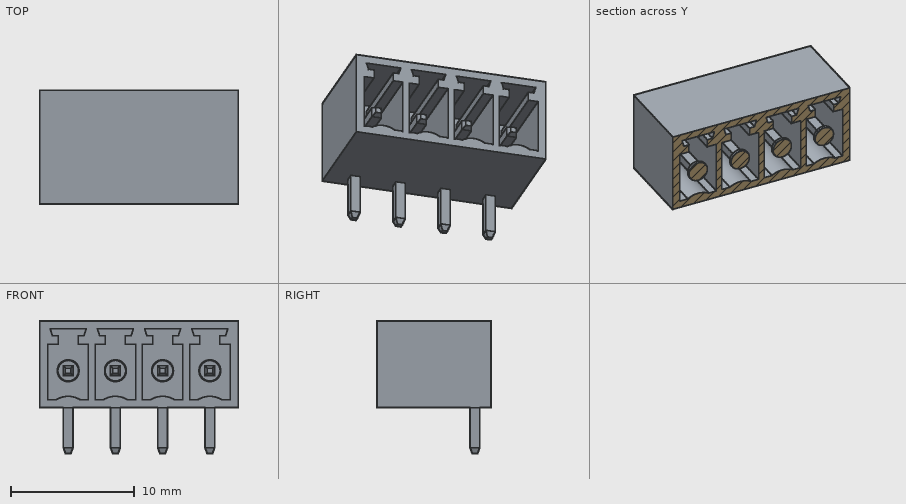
import cadquery as cq


pin_count = 4
pitch = 3.81

housing_width = 16.04
housing_depth = 9.2
housing_height = 7.0
wall = 0.65
back_wall = 2.0
front_y = -housing_depth / 2
back_y = housing_depth / 2
cavity_depth = housing_depth - back_wall
cavity_back_y = front_y + cavity_depth

chamber_width = 3.27
neck_width = 1.63
keyway_top_width = 2.9
keyway_bottom_width = 2.55
floor_z = wall
chamber_top_z = 5.1
neck_top_z = 5.82
keyway_top_z = housing_height - wall

rib_width = 1.9
rib_height = 0.27

collar_base_diameter = 1.76
collar_face_diameter = 1.66
collar_length = 0.5

pin_size = 0.8
tip_size = 0.44
tip_length = 0.48
contact_z = 2.98
contact_setback = 1.4
contact_tip_y = front_y + contact_setback
tail_length = 3.7
tail_inset = 1.3
tail_y = back_y - tail_inset


def front_plane(y, x, z):
    """Workplane at depth y, centred on (x, z), whose normal points to -Y."""
    return cq.Workplane("XZ", origin=(x, y, z))


def make_housing():
    return cq.Workplane("XY").box(
        housing_width, housing_depth, housing_height, centered=(True, True, False)
    )


def make_cavity(x):
    """Volume removed for the plug, including the dovetail keyway and floor rib."""
    half_chamber = chamber_width / 2
    half_neck = neck_width / 2
    half_keyway_top = keyway_top_width / 2
    half_keyway_bottom = keyway_bottom_width / 2
    half_rib = rib_width / 2
    return (
        front_plane(cavity_back_y, x, 0)
        .moveTo(-half_chamber, floor_z)
        .lineTo(-half_rib, floor_z)
        .threePointArc((0, floor_z + rib_height), (half_rib, floor_z))
        .lineTo(half_chamber, floor_z)
        .lineTo(half_chamber, chamber_top_z)
        .lineTo(half_neck, chamber_top_z)
        .lineTo(half_neck, neck_top_z)
        .lineTo(half_keyway_bottom, neck_top_z)
        .lineTo(half_keyway_top, keyway_top_z)
        .lineTo(-half_keyway_top, keyway_top_z)
        .lineTo(-half_keyway_bottom, neck_top_z)
        .lineTo(-half_neck, neck_top_z)
        .lineTo(-half_neck, chamber_top_z)
        .lineTo(-half_chamber, chamber_top_z)
        .close()
        .extrude(cavity_depth)
    )


def make_collar(x):
    """Tapered round boss standing on the back of the cavity around a contact."""
    return (
        front_plane(cavity_back_y, x, contact_z)
        .circle(collar_base_diameter / 2)
        .workplane(offset=collar_length)
        .circle(collar_face_diameter / 2)
        .loft()
    )


def make_tapered_wire(start, length):
    """Square wire along the normal of the start workplane, ending in a tapered tip."""
    shaft_length = length - tip_length
    shaft = start.rect(pin_size, pin_size).extrude(shaft_length)
    tip = (
        start.workplane(offset=shaft_length)
        .rect(pin_size, pin_size)
        .workplane(offset=tip_length)
        .rect(tip_size, tip_size)
        .loft(ruled=True)
    )
    return shaft.union(tip)


def make_pin(x):
    """Horizontal contact joined to a vertical solder tail."""
    bend_y = tail_y + pin_size / 2
    bend_z = contact_z + pin_size / 2
    contact = make_tapered_wire(front_plane(bend_y, x, contact_z), bend_y - contact_tip_y)
    tail_top = cq.Workplane("XY", origin=(x, tail_y, bend_z)).transformed(rotate=(180, 0, 0))
    tail = make_tapered_wire(tail_top, bend_z + tail_length)
    return contact.union(tail)


first_pin_x = -pitch * (pin_count - 1) / 2
header = make_housing()
for index in range(pin_count):
    pin_x = first_pin_x + index * pitch
    header = header.cut(make_cavity(pin_x))
    header = header.union(make_collar(pin_x))
    header = header.union(make_pin(pin_x))

result = header